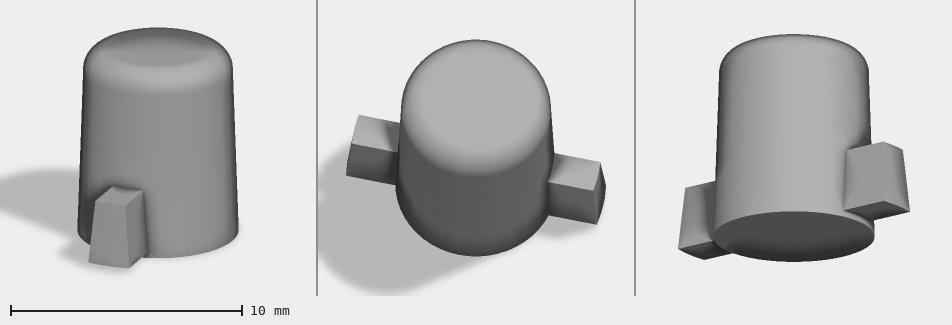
import cadquery as cq
import math

total_height = 8.4
base_radius = 3.48
taper_top_radius = 3.25
crown_radius = 3.21
taper_height = 6.88
crown_fillet = 1.0

ear_bottom = 0.28
ear_height = 2.8
ear_base_width = 1.9
ear_tip_radius = 5.62
draft_angle = 5.0
ear_draft = ear_height * math.tan(math.radians(draft_angle))


def make_body():
    """Tapered skirt with a short, slightly tapered neck and a rounded crown."""
    skirt_and_neck = (
        cq.Workplane("XZ")
        .moveTo(0, 0)
        .lineTo(base_radius, 0)
        .lineTo(taper_top_radius, taper_height)
        .lineTo(crown_radius, total_height)
        .lineTo(0, total_height)
        .close()
        .revolve(360, (0, 0, 0), (0, 1, 0))
    )
    return skirt_and_neck.faces(">Z").edges().fillet(crown_fillet)


def make_ears():
    """One drafted bar through the body, its ends rounded by a cone."""
    bar = (
        cq.Workplane("XY", origin=(0, 0, ear_bottom))
        .rect(ear_base_width, 2 * ear_tip_radius + 2 * ear_draft)
        .extrude(ear_height, taper=draft_angle)
    )
    end_cone = (
        cq.Workplane("XY", origin=(0, 0, ear_bottom))
        .circle(ear_tip_radius)
        .extrude(ear_height, taper=draft_angle)
    )
    return bar.intersect(end_cone)


result = make_body().union(make_ears())